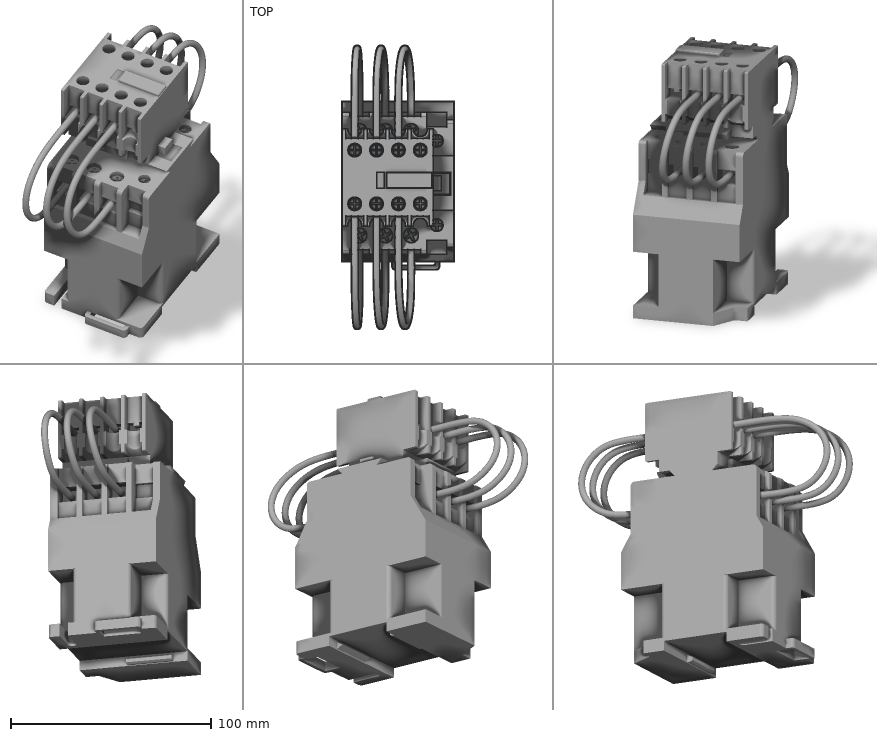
import cadquery as cq
import math

FRONT, REAR = -1, 1
OPEN = 1.4
NEAR = 0.1

width = 56.0
lower_y = {FRONT: -40.0, REAR: 40.0}
upper_y = {FRONT: -36.5, REAR: 34.6}
side_y = {FRONT: -32.9, REAR: 30.8}
shoulder_z = {FRONT: 56.9, REAR: 54.2}
slope_top_z = 63.1
housing_top = 90.0
top_round, side_round = 2.1, 1.7

seat_top = 93.0
seat_base_y = {FRONT: -11.2, REAR: 9.8}
seat_top_y = {FRONT: -14.5, REAR: 12.8}
window_right, window_y, window_depth = 54.5, (-7.0, 4.7), 1.4
window_bevel = 0.5

poles = 4
slot_width = 10.0
first_slot_x, last_slot_x = 8.8, 47.4
slot_pitch = (last_slot_x - first_slot_x) / (poles - 1)
slot_right = last_slot_x + slot_width / 2
slot_back_y = {FRONT: -34.0, REAR: 32.5}
last_slot_back_y = {FRONT: -29.5, REAR: 27.2}
entry_y = {FRONT: -27.0, REAR: 25.4}
entry_z = (72.2, 79.9)

screw_y = {FRONT: -27.0, REAR: 25.1}
coil_screw_y = {FRONT: -21.8, REAR: 20.3}
coil_screw_x = last_slot_x
screw_bore, coil_screw_bore, screw_depth = 7.4, 6.2, 2.7
cross_length, cross_width, cross_depth = 5.4, 1.3, 0.9
screw_turn = 25

pocket_wall_x = {FRONT: (12.6, 42.5), REAR: (13.9, 42.5)}
pocket_wall_y = {FRONT: -19.6, REAR: 17.7}
foot_top, pocket_top = 6.7, 34.8
corner_round, foot_round = 2.1, 1.8
foot_slot_x, foot_slot_end, slot_end_round = (6.0, 10.2), -23.0, 2.0
notch_start_y, notch_corner_x, notch_round = 27.4, 6.7, 1.4
channel_y, channel_top = (-19.5, 15.9), 5.0
rail_hook_reach, rail_hook_z = 3.0, (0.3, 4.1)
rail_hook_bevel_low, rail_hook_bevel_high = 0.7, 1.4

block_width, block_bottom, block_top = 45.5, 99.5, 129.8
block_y = {FRONT: -22.3, REAR: 26.4}
block_round = 0.7
neck_y = {FRONT: -14.5, REAR: 18.6}
chamber_width, chamber_pitch = 9.1, 10.9
first_chamber_x = block_width / 2 - (poles - 1) * chamber_pitch / 2
chamber_depth, chamber_entry_depth = 5.0, 9.2
ledge_z, chamber_entry_top = 111.4, 116.2
groove_diameter, groove_depth = 7.0, 4.0
skirt_z = 104.0
clamp_width, clamp_height = 2.8, 1.7
block_screw_y = {FRONT: -11.2, REAR: 15.6}
block_screw_bore, block_screw_depth, block_cross_width = 6.7, 7.1, 0.9
block_screw_head, head_height = 5.8, 0.9
plate_x, plate_y, plate_height, plate_chamfer = (22.1, 45.3), (-3.4, 4.7), 1.4, 0.3
mark_x, mark_depth = (17.3, 21.1), 0.4
latch_x, latch_top, latch_reach = (11.3, 34.6), 98.0, 2.4
hook_top, hook_reach, hook_lip, hook_bevel = 96.7, 7.1, 0.9, 1.4
nib_root, nib_drop, nib_bevel = 2.8, 2.3, 0.9
peg_right, peg_y = 49.6, (-4.7, 2.8)

wire_radius = 1.7
bend_steps = 4
wire_top_z, wire_mid_z, wire_low_z = 113.9, 94.6, 76.2
bend_top_y = {FRONT: -42.8, REAR: 43.3}
bend_low_y = {FRONT: -51.0, REAR: 40.5}
wire_apex_y = {FRONT: -72.2, REAR: 66.2}

clip_x, clip_front, clip_bar, clip_opening_end = (25.0, 48.8), -44.1, 2.3, -33.3
clip_round, clip_inner_round = 1.8, 0.7
clip_nose, clip_nose_z = 3.3, (0.5, 2.3, 4.0)


def box(x, y, z):
    """Box between two limits, in any order, along each axis."""
    spans = [sorted(limits) for limits in (x, y, z)]
    sizes = [high - low for low, high in spans]
    corner = tuple(low for low, _ in spans)
    return cq.Workplane("XY").box(*sizes, centered=False).translate(corner)


def prism(yz_points, x):
    """Outline in the YZ plane, extruded between two X positions."""
    return cq.Workplane("YZ").workplane(offset=x[0]).polyline(yz_points).close().extrude(x[1] - x[0])


def screw_hole(x, y, top, bore, depth, slot_width=cross_width, turn=0):
    """Bore down to a screw head with a cross slot in it."""
    hole = cq.Workplane("XY", origin=(x, y, top - depth)).circle(bore / 2).extrude(depth + OPEN)
    for angle in (turn, turn + 90):
        slot = cq.Workplane("XY").box(cross_length, slot_width, 2 * cross_depth)
        hole = hole.union(slot.rotate((0, 0, 0), (0, 0, 1), angle).translate((x, y, top - depth)))
    return hole


def slope_z(side, y):
    """Height of the sloped shoulder, or of its upward extension, at a given Y."""
    run = (lower_y[side] - y) / (lower_y[side] - upper_y[side])
    return shoulder_z[side] + run * (slope_top_z - shoulder_z[side])


def housing_shell(face_y, x, edge_round):
    front, rear = face_y[FRONT], face_y[REAR]
    outline = [
        (lower_y[FRONT], 0),
        (lower_y[FRONT], shoulder_z[FRONT]),
        (front, slope_z(FRONT, front)),
        (front, housing_top),
        (rear, housing_top),
        (rear, slope_z(REAR, rear)),
        (lower_y[REAR], shoulder_z[REAR]),
        (lower_y[REAR], 0),
    ]
    return prism(outline, x).faces(">Z").edges("|X").fillet(edge_round)


def seat():
    outline = [
        (seat_base_y[FRONT], housing_top),
        (seat_top_y[FRONT], seat_top),
        (seat_top_y[REAR], seat_top),
        (seat_base_y[REAR], housing_top),
    ]
    plateau = prism(outline, (0, width))
    window = box((block_width, window_right), window_y, (seat_top - window_depth, seat_top + OPEN))
    return plateau.cut(window.faces("<Z").edges("not <X").chamfer(window_bevel))


def slot_x(pole):
    return first_slot_x + pole * slot_pitch


def terminal_slot(side, pole):
    x = (slot_x(pole) - slot_width / 2, slot_x(pole) + slot_width / 2)
    back = last_slot_back_y[side] if pole == poles - 1 else slot_back_y[side]
    outside = lower_y[side]
    slot = box(x, (back, outside), (slope_top_z, housing_top + OPEN))
    return slot.union(box(x, (entry_y[side], outside), entry_z))


def corner_pocket(side, right):
    """Corner recess above a foot, reaching past the outer faces."""
    x = (pocket_wall_x[side][right], width + OPEN if right else -OPEN)
    y = (pocket_wall_y[side], lower_y[side] + side * OPEN)
    return box(x, y, (foot_top, pocket_top))


def edges_at(corners, z):
    """Selector of the upright edges at given (X, Y) corners and a given mid-height."""
    boxes = [
        cq.selectors.BoxSelector((x - NEAR, y - NEAR, z - NEAR), (x + NEAR, y + NEAR, z + NEAR))
        for x, y in corners
    ]
    selector = boxes[0]
    for other in boxes[1:]:
        selector = selector + other
    return selector


def foot_slot():
    """Slot of the front left foot, open to the front, with a round end."""
    slot = box(foot_slot_x, (foot_slot_end, lower_y[FRONT] - OPEN), (-OPEN, foot_top + OPEN))
    return slot.edges("|Z and >Y").fillet(slot_end_round)


def foot_notch():
    """Slanted opening at the end of the rear left foot."""
    outline = [
        (-OPEN, notch_start_y),
        (notch_corner_x, notch_start_y),
        (pocket_wall_x[REAR][0], lower_y[REAR]),
        (-OPEN, lower_y[REAR]),
    ]
    notch = cq.Workplane("XY").polyline(outline).close().extrude(foot_top)
    inner_corner = edges_at([(notch_corner_x, notch_start_y)], foot_top / 2)
    return notch.edges(inner_corner).fillet(notch_round)


def rail_hook():
    """Fixed hook for the mounting rail, on the rear side of the channel."""
    base, tip = channel_y[1], channel_y[1] - rail_hook_reach
    low, high = rail_hook_z
    outline = [
        (base, low),
        (tip + rail_hook_bevel_high, low),
        (tip, low + rail_hook_bevel_low),
        (tip, high - rail_hook_bevel_high),
        (base, high),
    ]
    return prism(outline, clip_x)


def make_base():
    """Housing without its terminals: shell, corner pockets and feet with rounded corners."""
    body = housing_shell(upper_y, (0, slot_right), top_round)
    body = body.union(housing_shell(side_y, (slot_right, width), side_round))
    for side in (FRONT, REAR):
        for right in (0, 1):
            body = body.cut(corner_pocket(side, right))
    side_corners = [(x, pocket_wall_y[side]) for x in (0, width) for side in (FRONT, REAR)]
    front_corners = [(x, lower_y[FRONT]) for x in pocket_wall_x[FRONT]]
    pocket_middle = (foot_top + pocket_top) / 2
    body = body.edges(edges_at(side_corners + front_corners, pocket_middle)).fillet(corner_round)
    front_feet = [(x, lower_y[FRONT]) for x in (0, width)]
    body = body.edges(edges_at(front_feet, foot_top / 2)).fillet(foot_round)
    return body.cut(foot_slot()).cut(foot_notch())


def make_housing():
    body = make_base()
    body = body.cut(box((-OPEN, width + OPEN), channel_y, (-OPEN, channel_top)))
    body = body.cut(box(clip_x, (lower_y[FRONT] - OPEN, channel_y[0]), (-OPEN, channel_top)))
    body = body.union(rail_hook()).union(seat())
    for side in (FRONT, REAR):
        for pole in range(poles):
            body = body.cut(terminal_slot(side, pole))
        for pole in range(poles - 1):
            place = (slot_x(pole), screw_y[side], housing_top)
            body = body.cut(screw_hole(*place, screw_bore, screw_depth, turn=screw_turn))
        coil_place = (coil_screw_x, coil_screw_y[side], housing_top)
        body = body.cut(screw_hole(*coil_place, coil_screw_bore, screw_depth))
    return body


def chamber_x(pole):
    return first_chamber_x + pole * chamber_pitch


def block_chamber(side, pole):
    """Terminal chamber: open top, wire opening, grooved ledge with a sloped underside."""
    centre, face, neck = chamber_x(pole), block_y[side], neck_y[side]
    x = (centre - chamber_width / 2, centre + chamber_width / 2)
    outside = face + side * OPEN
    chamber = box(x, (face - side * chamber_depth, outside), (ledge_z, block_top + OPEN))
    chamber = chamber.union(
        box(x, (face - side * chamber_entry_depth, outside), (ledge_z, chamber_entry_top))
    )
    groove_radius = groove_diameter / 2
    groove_y = face - side * (groove_depth - groove_radius)
    groove = cq.Workplane("XY", origin=(centre, groove_y, block_bottom)).circle(groove_radius)
    chamber = chamber.union(groove.extrude(ledge_z - block_bottom))
    underside = [
        (neck, block_bottom),
        (face, skirt_z),
        (outside, skirt_z),
        (outside, block_bottom - OPEN),
        (neck, block_bottom - OPEN),
    ]
    return chamber.union(prism(underside, x))


def block_screw(side, pole):
    """Screw hole with a ring-shaped gap around the screw head."""
    x, y = chamber_x(pole), block_screw_y[side]
    hole = screw_hole(x, y, block_top, block_screw_bore, block_screw_depth, block_cross_width)
    gap = cq.Workplane("XY", origin=(x, y, block_top - block_screw_depth - head_height))
    return hole.union(gap.circle(block_screw_bore / 2).circle(block_screw_head / 2).extrude(head_height))


def clamp_tip(side):
    """Clamp tip hanging in the wire opening of the chamber that takes no wire."""
    centre = chamber_x(poles - 1)
    back = block_y[side] - side * chamber_entry_depth
    front = block_y[side] - side * chamber_depth
    return box(
        (centre - clamp_width / 2, centre + clamp_width / 2),
        (back, front),
        (chamber_entry_top - clamp_height, chamber_entry_top),
    )


def block_catches():
    """Front latch, rear hook, rear nib and side peg around the neck."""
    latch = box(latch_x, (neck_y[FRONT], neck_y[FRONT] - latch_reach), (seat_top, latch_top))
    rear = neck_y[REAR]
    hook_end = rear + hook_reach
    hook = prism(
        [
            (rear, seat_top),
            (hook_end - hook_bevel, seat_top),
            (hook_end, hook_top - hook_lip),
            (hook_end, hook_top),
            (rear, hook_top),
        ],
        latch_x,
    )
    nib_y = seat_top_y[REAR]
    nib = prism(
        [
            (nib_y, seat_top),
            (nib_y + nib_bevel, seat_top - nib_drop),
            (nib_y + nib_root - nib_bevel, seat_top - nib_drop),
            (nib_y + nib_root, seat_top),
        ],
        latch_x,
    )
    peg = box((block_width, peg_right), peg_y, (seat_top, latch_top))
    return latch.union(hook).union(nib).union(peg)


def make_block():
    x = (0, block_width)
    body = box(x, block_y.values(), (block_bottom, block_top)).edges("|X").fillet(block_round)
    body = body.union(box(x, neck_y.values(), (seat_top, block_bottom)))
    for side in (FRONT, REAR):
        for pole in range(poles):
            body = body.cut(block_chamber(side, pole))
            body = body.cut(block_screw(side, pole))
        body = body.union(clamp_tip(side))
    plate = box(plate_x, plate_y, (block_top, block_top + plate_height))
    body = body.union(plate.faces(">Z").chamfer(plate_chamfer))
    body = body.cut(box(mark_x, plate_y, (block_top - mark_depth, block_top + OPEN)))
    return body.union(block_catches())


def make_wire(side, pole):
    """Loop from a block chamber to a housing slot, bent in a leaning plane along two quarter ellipses."""

    def point(y, z):
        share = (wire_top_z - z) / (wire_top_z - wire_low_z)
        return cq.Vector(chamber_x(pole) + share * (slot_x(pole) - chamber_x(pole)), y, z)

    def bend(leg_y, leg_z):
        """Points on the quarter ellipse from the end of a straight leg up to the outermost point."""
        angles = [math.radians(90 * step / bend_steps) for step in range(bend_steps)]
        return [
            point(
                leg_y + math.sin(angle) * (wire_apex_y[side] - leg_y),
                wire_mid_z + math.cos(angle) * (leg_z - wire_mid_z),
            )
            for angle in angles
        ]

    start = point(block_y[side] - side * chamber_entry_depth, wire_top_z)
    upper_bend = bend(bend_top_y[side], wire_top_z)
    apex = point(wire_apex_y[side], wire_mid_z)
    lower_bend = bend(bend_low_y[side], wire_low_z)[::-1]
    end = point(entry_y[side], wire_low_z)
    outward = cq.Vector(0, side, 0)
    centre_line = cq.Edge.makeSpline(
        [start, *upper_bend, apex, *lower_bend, end], tangents=[outward, -outward]
    )
    section = cq.Workplane(cq.Plane(start, xDir=(1, 0, 0), normal=outward)).circle(wire_radius)
    return section.sweep(cq.Workplane(cq.Wire.assembleEdges([centre_line])))


def make_clip():
    """Sliding rail clip: a plate with a pull loop in front and a pointed nose at the rail."""
    plate = box(clip_x, (clip_front, channel_y[0]), (0, channel_top)).edges("|Z and <Y").fillet(clip_round)
    loop = box(
        (clip_x[0] + clip_bar, clip_x[1] - clip_bar),
        (clip_front + clip_bar, clip_opening_end),
        (-OPEN, channel_top + OPEN),
    )
    plate = plate.cut(loop.edges("|Z and <Y").fillet(clip_inner_round))
    low, middle, high = clip_nose_z
    nose = prism([(channel_y[0], low), (channel_y[0] + clip_nose, middle), (channel_y[0], high)], clip_x)
    return plate.union(nose)


housing = make_housing()
contact_block = make_block()
wires = [make_wire(side, pole) for side in (FRONT, REAR) for pole in range(poles - 1)]
rail_clip = make_clip()

result = cq.Compound.makeCompound(
    [housing.val(), contact_block.val(), *[wire.val() for wire in wires], rail_clip.val()]
)